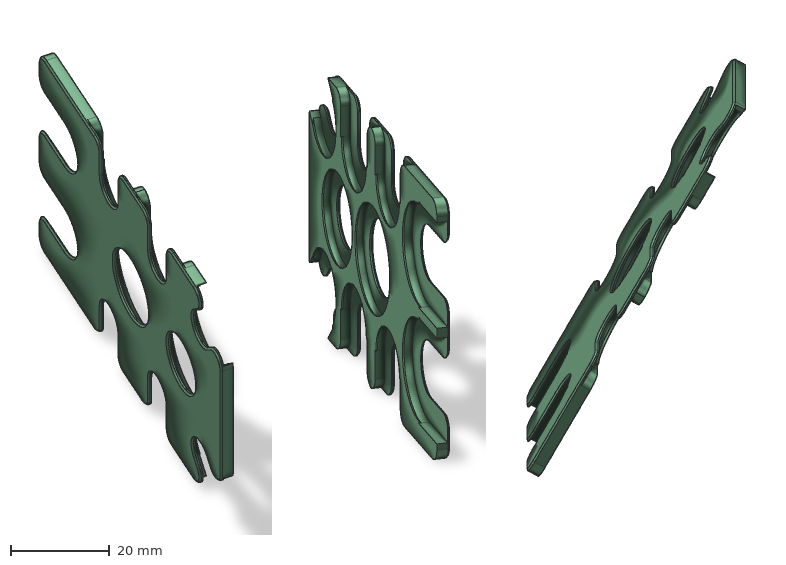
import cadquery as cq

length = 85.6
height = 56.54
thickness = 2.8
half_height = height / 2

corner_radius = 3.0
chamfer_size = 0.4

rim_size = 0.5
rim_start = thickness - rim_size

left_skin = 0.5
edge_skin = 0.75
hole_skin = 0.8

left_slot_radius = 6.0
left_slot_x = 12.1
left_slot_z = 12.55
left_pocket_radius = 11.45

edge_slot_radius = 3.98
upright_slots = [(32.95, 19.1, 8.4), (55.6, 18.7, 8.85)]

angled_slot_x = 76.0
angled_slot_z = 18.65
angled_pocket_radius = 8.9
angled_mouth_right = 8.2

up = 0
to_left = -90
to_upper_right = 45

round_holes = [(43.2, 16.26), (66.85, 13.21)]
hole_pocket_margin = 4.0

run_out = length
tolerance = 0.01


def disc(radius, y_start, y_end):
    sketch = cq.Workplane("XZ", origin=(0, y_start, 0)).circle(radius)
    return sketch.extrude(y_start - y_end)


def mouth(left_side, right_side, y_start, y_end):
    """Straight part of a slot, running from the origin along +Z."""
    bar = cq.Workplane("XY").box(left_side + right_side, y_end - y_start, run_out, centered=False)
    return bar.translate((-left_side, y_start, 0))


def round_pocket(radius, skin):
    """Round pocket whose wall tapers inwards at the back face."""
    profile = (
        cq.Workplane("XY")
        .moveTo(0, skin)
        .lineTo(radius, skin)
        .lineTo(radius, rim_start)
        .lineTo(radius - rim_size, thickness)
        .lineTo(0, thickness)
        .close()
    )
    return profile.revolve(360, (0, 0, 0), (0, 1, 0))


def slot(radius):
    """U shape through the plate with its round end at the origin."""
    return disc(radius, 0, thickness).union(mouth(radius, radius, 0, thickness))


def place(cutter, x, z, direction=up):
    return cutter.rotate((0, 0, 0), (0, 1, 0), direction).translate((x, 0, z))


def cut_both_halves(body, cutter):
    """Cut a shape and its mirror image across the centre line."""
    return body.cut(cutter).cut(cutter.mirror("XY"))


def is_on_long_side(edge):
    return abs(abs(edge.Center().z) - half_height) < tolerance


def is_on_short_side(edge):
    x = edge.Center().x
    return min(abs(x), abs(x - length)) < tolerance


def make_outline():
    """Plate with all its slots, and with every outer corner rounded."""
    body = cq.Workplane("XY").box(length, thickness, height, centered=(False, False, True))
    left_slot = place(slot(left_slot_radius), left_slot_x, left_slot_z, to_left)
    body = cut_both_halves(body, left_slot)
    for x, z, _ in upright_slots:
        body = cut_both_halves(body, place(slot(edge_slot_radius), x, z))
    angled_slot = place(slot(edge_slot_radius), angled_slot_x, angled_slot_z, to_upper_right)
    body = cut_both_halves(body, angled_slot)
    corners = body.edges("|Y").filter(lambda edge: is_on_long_side(edge) or is_on_short_side(edge))
    return corners.fillet(corner_radius)


def cut_round_holes(body):
    for x, diameter in round_holes:
        body = body.cut(place(disc(diameter / 2, 0, thickness), x, 0))
    return body


def flared_mouth(radius, rise):
    """Pocket mouth with rounded corners where it meets the long side, at the given rise."""
    flare_half_width = radius + corner_radius
    corner_z = rise - corner_radius
    flare = mouth(flare_half_width, flare_half_width, edge_skin, thickness).translate((0, 0, corner_z))
    for corner_x in (-flare_half_width, flare_half_width):
        flare = flare.cut(place(disc(corner_radius, edge_skin, thickness), corner_x, corner_z))
    return mouth(radius, radius, edge_skin, thickness).union(flare)


def cut_upright_pockets(body):
    for x, z, radius in upright_slots:
        pocket = round_pocket(radius, edge_skin).union(flared_mouth(radius, half_height - z))
        body = cut_both_halves(body, place(pocket, x, z))
    return body


def cut_left_pockets(body):
    pocket = round_pocket(left_pocket_radius, left_skin).union(
        mouth(left_pocket_radius, left_pocket_radius, left_skin, thickness)
    )
    return cut_both_halves(body, place(pocket, left_slot_x, left_slot_z, to_left))


def cut_angled_pockets(body):
    pocket = round_pocket(angled_pocket_radius, edge_skin).union(
        mouth(angled_pocket_radius, angled_mouth_right, edge_skin, thickness)
    )
    return cut_both_halves(body, place(pocket, angled_slot_x, angled_slot_z, to_upper_right))


def cut_hole_pockets(body):
    for x, diameter in round_holes:
        pocket = round_pocket(diameter / 2 + hole_pocket_margin, hole_skin)
        body = body.cut(place(pocket, x, 0))
    return body


plate = cut_round_holes(make_outline())
plate = plate.faces("<Y").chamfer(chamfer_size)
plate = cut_upright_pockets(plate)
plate = cut_left_pockets(plate)
plate = cut_angled_pockets(plate)
result = cut_hole_pockets(plate)